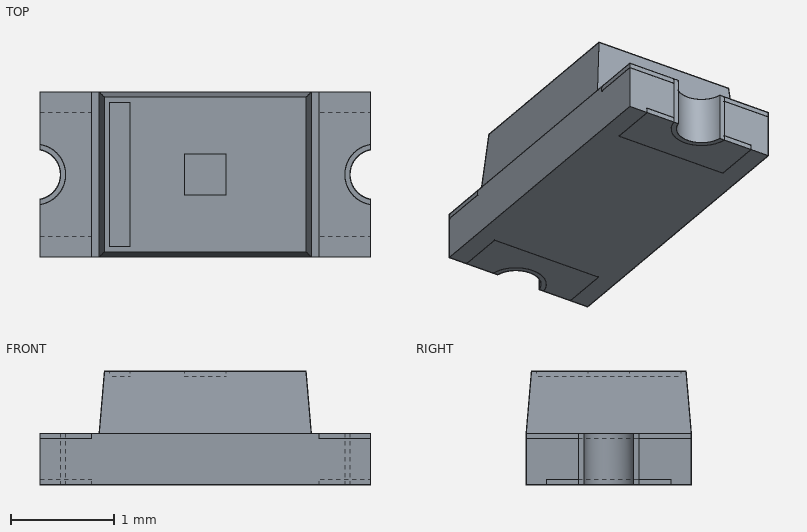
import cadquery as cq

LENGTH = 3.2
WIDTH = 1.6
BOARD_HEIGHT = 0.5
LENS_HEIGHT = 0.6
LAYER = 0.05

PAD_LENGTH = 0.5
BOTTOM_PAD_WIDTH = 1.2

BARREL_INNER_RADIUS = 0.243
BARREL_OUTER_RADIUS = BARREL_INNER_RADIUS + LAYER
BARREL_OFFSET = 0.045

LENS_TOP_LENGTH = 1.952
LENS_INSET = 0.05
LENS_TOP_WIDTH = WIDTH - 2 * LENS_INSET
LENS_BASE_LENGTH = LENS_TOP_LENGTH + 2 * LENS_INSET

MARK_LENGTH = 0.2
MARK_MARGIN = 0.05
MARK_WIDTH = LENS_TOP_WIDTH - 2 * MARK_MARGIN
DIE_SIDE = 0.4

TOP = BOARD_HEIGHT + LENS_HEIGHT
ENDS = (-1, 1)


def block(length, width, height, x, z):
    """Box centred on x and y = 0, standing on height z."""
    box = cq.Workplane("XY").box(length, width, height, centered=(True, True, False))
    return box.translate((x, 0, z))


def notch_cylinder(end, radius):
    """Full-height cylinder on the notch axis at one end."""
    axis_x = end * (LENGTH / 2 + BARREL_OFFSET)
    return cq.Workplane("XY").center(axis_x, 0).circle(radius).extrude(BOARD_HEIGHT)


def make_pad(end, width, z):
    """Flat pad at one end, cut away around the barrel."""
    pad_x = end * (LENGTH - PAD_LENGTH) / 2
    pad = block(PAD_LENGTH, width, LAYER, pad_x, z)
    return pad.cut(notch_cylinder(end, BARREL_OUTER_RADIUS))


def make_top_pad(end):
    return make_pad(end, WIDTH, BOARD_HEIGHT - LAYER)


def make_bottom_pad(end):
    return make_pad(end, BOTTOM_PAD_WIDTH, 0)


def make_barrel(end):
    """Curved plating lining the end notch, trimmed flush with the end face."""
    ring = notch_cylinder(end, BARREL_OUTER_RADIUS).cut(notch_cylinder(end, BARREL_INNER_RADIUS))
    return ring.intersect(block(LENGTH, WIDTH, BOARD_HEIGHT, 0, 0))


def make_board(pads):
    """Board with end notches and recesses for the pads."""
    board = block(LENGTH, WIDTH, BOARD_HEIGHT, 0, 0)
    for end in ENDS:
        board = board.cut(notch_cylinder(end, BARREL_OUTER_RADIUS))
    for pad in pads:
        board = board.cut(pad)
    return board


def make_polarity_mark():
    """Thin bar let into the lens top beside its -X edge."""
    mark_x = -LENS_TOP_LENGTH / 2 + MARK_MARGIN + MARK_LENGTH / 2
    return block(MARK_LENGTH, MARK_WIDTH, LAYER, mark_x, TOP - LAYER)


def make_die():
    """Thin square let into the middle of the lens top."""
    return block(DIE_SIDE, DIE_SIDE, LAYER, 0, TOP - LAYER)


def make_lens(inlays):
    """Tapered block with a recess for each inlay."""
    lens = (
        cq.Workplane("XY", origin=(0, 0, BOARD_HEIGHT))
        .rect(LENS_BASE_LENGTH, WIDTH)
        .workplane(offset=LENS_HEIGHT)
        .rect(LENS_TOP_LENGTH, LENS_TOP_WIDTH)
        .loft(ruled=True)
    )
    for inlay in inlays:
        lens = lens.cut(inlay)
    return lens


top_pads = [make_top_pad(end) for end in ENDS]
bottom_pads = [make_bottom_pad(end) for end in ENDS]
barrels = [make_barrel(end) for end in ENDS]
board = make_board(top_pads + bottom_pads)
polarity_mark = make_polarity_mark()
die = make_die()
lens = make_lens([polarity_mark, die])

bodies = [board, lens, polarity_mark, die, *top_pads, *bottom_pads, *barrels]
result = cq.Compound.makeCompound([body.solids().val() for body in bodies])